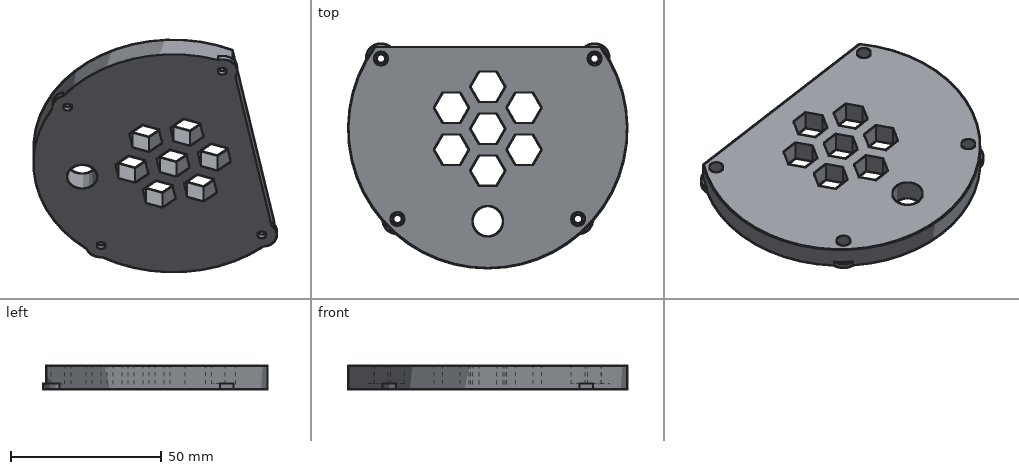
import cadquery as cq
import math

disc_radius = 46.5
flat_y = 27.2
height = 8.0
rim_chamfer = 0.2

pad_diameter = 10.0
pad_height = 1.95
screw_diameter = 2.9
head_diameter = 4.6
upper_screw_x, upper_screw_y = 35.5, 23.3
lower_screw_x, lower_screw_y = 30.0, -30.0

cable_hole_diameter = 10.0
cable_hole_y = -30.8
hex_across_flats = 10.0
hex_spacing = 13.95
hex_ring_count = 6

screw_points = [
    (side * x, y)
    for x, y in [(upper_screw_x, upper_screw_y), (lower_screw_x, lower_screw_y)]
    for side in (-1, 1)
]


def make_plate():
    """Disc with a flat, chamfered along the round top edge only."""
    disc = cq.Workplane("XY").circle(disc_radius).extrude(height)
    disc = disc.faces(">Z").edges().chamfer(rim_chamfer)
    size = 2 * disc_radius
    keep = cq.Workplane("XY").center(0, flat_y - size / 2).rect(size, size).extrude(height)
    return disc.intersect(keep)


def make_pads():
    """Round base pads that stick out past the plate's outline."""
    return cq.Workplane("XY").pushPoints(screw_points).circle(pad_diameter / 2).extrude(pad_height)


def make_screw_holes():
    """Through holes widened for the screw heads down to the level of the pads."""
    points = cq.Workplane("XY").pushPoints(screw_points)
    shanks = points.circle(screw_diameter / 2).extrude(height)
    heads = (
        cq.Workplane("XY", origin=(0, 0, pad_height))
        .pushPoints(screw_points)
        .circle(head_diameter / 2)
        .extrude(height - pad_height)
    )
    return shanks.union(heads)


def make_hex_grille():
    """One central hexagon ringed by six more."""
    centres = [(0, 0)]
    pitch_angle = 2 * math.pi / hex_ring_count
    for i in range(hex_ring_count):
        angle = (i + 0.5) * pitch_angle
        centres.append((hex_spacing * math.cos(angle), hex_spacing * math.sin(angle)))
    across_corners = hex_across_flats / math.cos(math.pi / 6)
    return cq.Workplane("XY").pushPoints(centres).polygon(6, across_corners).extrude(height)


def make_cable_hole():
    """Plain round through hole between the grille and the rim."""
    return cq.Workplane("XY").center(0, cable_hole_y).circle(cable_hole_diameter / 2).extrude(height)


result = (
    make_plate()
    .union(make_pads())
    .cut(make_screw_holes())
    .cut(make_hex_grille())
    .cut(make_cable_hole())
)